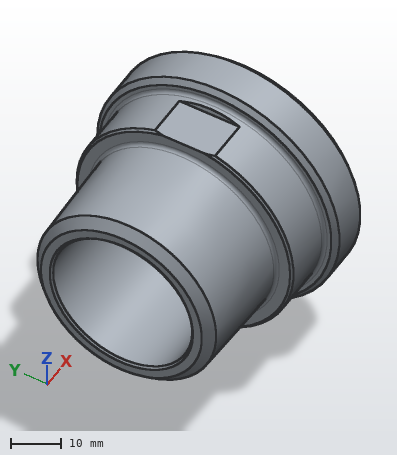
import cadquery as cq

total_length = 46.5

rim_radius = 27.9
rim_width = 10.4
rim_chamfer = 1.2
rim_start = total_length - rim_width

collar_radius = 50.0 / 2
collar_start = 24.0
collar_chamfer = 0.5
rim_fillet = 0.8

flat_height = 24.0
flat_end = 33.9
flat_wall_lean = 0.45

spigot_tip_radius = 20.6
spigot_root_radius = 21.2
spigot_chamfer = 2.05
spigot_fillet = 0.8
spigot_end = collar_start - spigot_fillet

bore_radius = 32.0 / 2
mouth_chamfer = 0.5


def turned_body():
    """Revolve the outer profile, drawn as (x, radius), about the X axis."""
    profile = (
        cq.Workplane("XY")
        .moveTo(0, 0)
        .lineTo(0, spigot_tip_radius - spigot_chamfer)
        .lineTo(spigot_chamfer, spigot_tip_radius)
        .lineTo(spigot_end, spigot_root_radius)
        .radiusArc((collar_start, spigot_root_radius + spigot_fillet), -spigot_fillet)
        .lineTo(collar_start, collar_radius - collar_chamfer)
        .lineTo(collar_start + collar_chamfer, collar_radius)
        .lineTo(rim_start - rim_fillet, collar_radius)
        .radiusArc((rim_start, collar_radius + rim_fillet), -rim_fillet)
        .lineTo(rim_start, rim_radius - rim_chamfer)
        .lineTo(rim_start + rim_chamfer, rim_radius)
        .lineTo(total_length - rim_chamfer, rim_radius)
        .lineTo(total_length, rim_radius - rim_chamfer)
        .lineTo(total_length, 0)
        .close()
    )
    return profile.revolve(360, (0, 0, 0), (1, 0, 0))


def bore():
    """Through hole along X."""
    return cq.Workplane("YZ").circle(bore_radius).extrude(total_length)


def flat_cutter(side):
    """Prism that removes the collar beyond the flat on the +Z (1) or -Z (-1) side."""
    section = (
        cq.Workplane("XZ")
        .moveTo(collar_start, side * flat_height)
        .lineTo(flat_end, side * flat_height)
        .lineTo(flat_end + flat_wall_lean, side * collar_radius)
        .lineTo(collar_start, side * collar_radius)
        .close()
    )
    return section.extrude(collar_radius, both=True)


def mouth_lead_in():
    """Cone that opens the bore at the spigot mouth."""
    return cq.Workplane("XY").add(
        cq.Solid.makeCone(
            bore_radius + mouth_chamfer,
            bore_radius,
            mouth_chamfer,
            pnt=cq.Vector(0, 0, 0),
            dir=cq.Vector(1, 0, 0),
        )
    )


result = turned_body().cut(bore()).cut(mouth_lead_in())
for side in (1, -1):
    result = result.cut(flat_cutter(side))